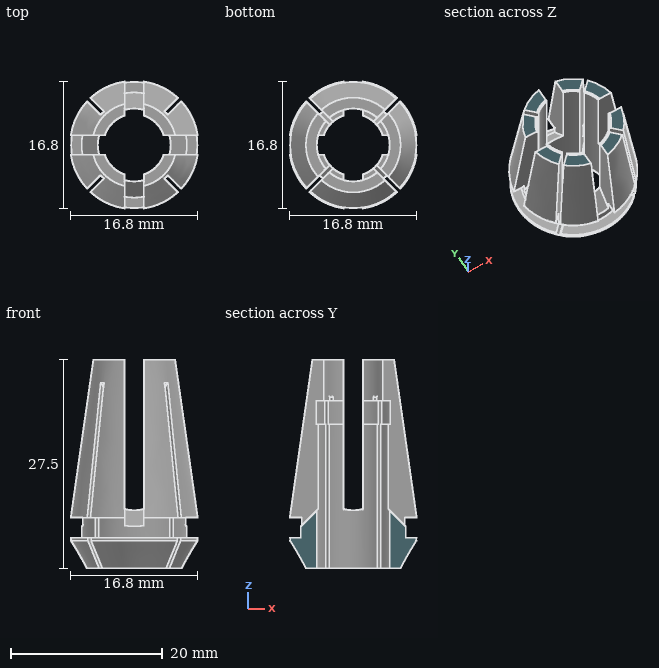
import cadquery as cq
import math

height = 27.5
nose_radius = 6.25
flange_radius = 8.33
flange_bottom = 3.63
flange_top = 4.05
groove_radius = 6.93
taper_bottom = 6.68
taper_bottom_radius = 8.47
taper_half_angle = 8.0
taper_shrink = (height - taper_bottom) * math.tan(math.radians(taper_half_angle))
taper_top_radius = taper_bottom_radius - taper_shrink

grip_radius = 4.07
relief_radius = 4.78
relief_top = 22.1
recess_radius = 5.0
recess_bottom = 18.98

wide_slot_width = 2.53
floor_peak = 12.45

slit_width = 0.6
slit_valley = 18.48

cutter_reach = taper_bottom_radius + 1.38


def make_body():
    """Revolved collet body with its stepped through bore."""
    profile = [
        (relief_radius, 0),
        (nose_radius, 0),
        (flange_radius, flange_bottom),
        (flange_radius, flange_top),
        (groove_radius, flange_top),
        (groove_radius, taper_bottom),
        (taper_bottom_radius, taper_bottom),
        (taper_top_radius, height),
        (grip_radius, height),
        (grip_radius, relief_top),
        (recess_radius, relief_top),
        (recess_radius, recess_bottom),
        (relief_radius, recess_bottom),
    ]
    return cq.Workplane("XZ").polyline(profile).close().revolve(360, (0, 0), (0, 1))


def make_wide_slot():
    """Cutter for two opposite wide slots along X, with a 45 degree roof-shaped floor."""
    return (
        cq.Workplane("XZ")
        .moveTo(-cutter_reach, height)
        .lineTo(-cutter_reach, floor_peak - cutter_reach)
        .lineTo(0, floor_peak)
        .lineTo(cutter_reach, floor_peak - cutter_reach)
        .lineTo(cutter_reach, height)
        .close()
        .extrude(wide_slot_width / 2, both=True)
    )


def make_slit():
    """Cutter for two opposite narrow slits along X, with a V-shaped upper end."""
    return (
        cq.Workplane("XZ")
        .moveTo(-cutter_reach, 0)
        .lineTo(-cutter_reach, slit_valley + cutter_reach)
        .lineTo(0, slit_valley)
        .lineTo(cutter_reach, slit_valley + cutter_reach)
        .lineTo(cutter_reach, 0)
        .close()
        .extrude(slit_width / 2, both=True)
    )


result = make_body()
for angle in (0, 90):
    wide_slot = make_wide_slot().rotate((0, 0, 0), (0, 0, 1), angle)
    slit = make_slit().rotate((0, 0, 0), (0, 0, 1), angle + 45)
    result = result.cut(wide_slot).cut(slit)